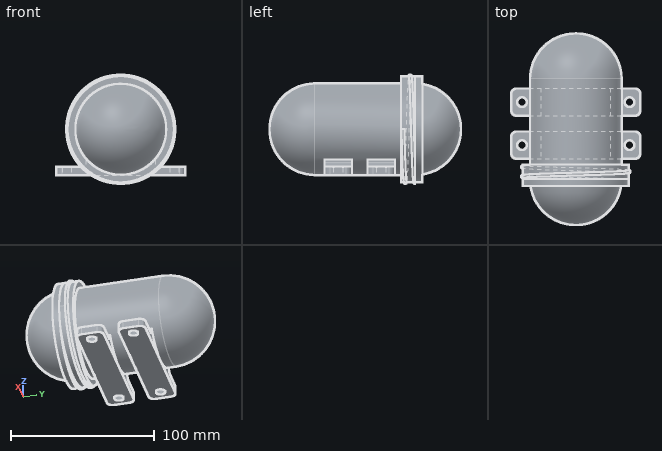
import cadquery as cq
import math

overall_length = 133.5
vessel_radius = 32.0
rear_tip = overall_length / 2
front_tip = -overall_length / 2

collar_radius = 37.0
collar_length = 10.0
rim_length = 5.0
barrel_length = 60.0
joint_y = front_tip + vessel_radius
collar_rear_y = joint_y + collar_length
barrel_rear_y = collar_rear_y + barrel_length
rear_dome_height = rear_tip - barrel_rear_y

bead_radius = 1.0
bead_pitch = 6.7
bead_turns = 1.5
bead_start_offset = 1.5
bead_start_y = collar_rear_y - bead_start_offset

foot_span = 90.0
foot_width = 19.2
foot_thickness = 6.0
foot_corner_radius = 4.0
foot_spacing = 29.9
first_foot_offset = 13.6
foot_bottom_z = -vessel_radius
foot_top_z = foot_bottom_z + foot_thickness
hole_diameter = 6.5
hole_spacing = 74.7
saddle_half_width = 24.0
saddle_fillet = 3.0
saddle_top_z = -vessel_radius / 2


def revolve_about_y(profile):
    """Revolve a closed XY profile a full turn around the Y axis."""
    return profile.revolve(360, (0, 0, 0), (0, 1, 0))


def make_shell():
    """Collar, barrel and domed rear end, as one round solid."""
    dome_radius = (vessel_radius**2 + rear_dome_height**2) / (2 * rear_dome_height)
    dome_center_y = rear_tip - dome_radius
    half_angle = math.asin(vessel_radius / dome_radius) / 2
    dome_middle = (
        dome_radius * math.sin(half_angle),
        dome_center_y + dome_radius * math.cos(half_angle),
    )
    return revolve_about_y(
        cq.Workplane("XY")
        .moveTo(0, joint_y)
        .lineTo(collar_radius, joint_y)
        .lineTo(collar_radius, collar_rear_y)
        .lineTo(vessel_radius, collar_rear_y)
        .lineTo(vessel_radius, barrel_rear_y)
        .threePointArc(dome_middle, (0, rear_tip))
        .close()
    )


def make_thread():
    """Helical bead, starting at -X, trimmed flush with the joint face."""
    helix = cq.Wire.makeHelix(bead_pitch, bead_pitch * bead_turns, collar_radius)
    bead = (
        cq.Workplane("XZ", origin=(collar_radius, 0, 0))
        .circle(bead_radius)
        .sweep(cq.Workplane(obj=helix), isFrenet=True)
        .rotate((0, 0, 0), (1, 0, 0), 90)
        .rotate((0, 0, 0), (0, 1, 0), 180)
        .translate((0, bead_start_y, 0))
    )
    trim_size = 4 * collar_radius
    keep_block = cq.Workplane("XY", origin=(0, joint_y + trim_size / 2, 0)).box(
        trim_size, trim_size, trim_size
    )
    return bead.intersect(keep_block)


def make_foot(center_y):
    """Drilled plate under the barrel with a saddle blending up into its sides."""
    plate = (
        cq.Workplane("XY", origin=(0, center_y, foot_bottom_z))
        .rect(foot_span, foot_width)
        .extrude(foot_thickness)
        .edges("|Z")
        .fillet(foot_corner_radius)
    )
    fillet_foot_x = saddle_half_width + saddle_fillet
    fillet_top_z = foot_top_z + saddle_fillet
    arc_inset = saddle_fillet * (1 - math.sqrt(0.5))
    arc_middle_x = saddle_half_width + arc_inset
    arc_middle_z = foot_top_z + arc_inset
    saddle = (
        cq.Workplane("XZ", origin=(0, center_y, 0))
        .moveTo(-fillet_foot_x, foot_top_z)
        .lineTo(fillet_foot_x, foot_top_z)
        .threePointArc((arc_middle_x, arc_middle_z), (saddle_half_width, fillet_top_z))
        .lineTo(saddle_half_width, saddle_top_z)
        .lineTo(-saddle_half_width, saddle_top_z)
        .lineTo(-saddle_half_width, fillet_top_z)
        .threePointArc((-arc_middle_x, arc_middle_z), (-fillet_foot_x, foot_top_z))
        .close()
        .extrude(foot_width / 2, both=True)
    )
    holes = (
        cq.Workplane("XY", origin=(0, center_y, foot_bottom_z))
        .pushPoints([(-hole_spacing / 2, 0), (hole_spacing / 2, 0)])
        .circle(hole_diameter / 2)
        .extrude(foot_thickness)
    )
    return plate.union(saddle).cut(holes)


def make_vessel():
    """Vessel with its thread and mounting feet, as one solid."""
    vessel = make_shell().union(make_thread())
    for index in range(2):
        foot_y = collar_rear_y + first_foot_offset + index * foot_spacing
        vessel = vessel.union(make_foot(foot_y))
    return vessel


def make_cap():
    """Flanged cap: a rim against the collar and a dome centered on the joint."""
    rim_front_y = joint_y - rim_length
    dome_base_radius = math.sqrt(vessel_radius**2 - rim_length**2)
    half_angle = math.asin(dome_base_radius / vessel_radius) / 2
    dome_middle = (
        vessel_radius * math.sin(half_angle),
        joint_y - vessel_radius * math.cos(half_angle),
    )
    return revolve_about_y(
        cq.Workplane("XY")
        .moveTo(0, joint_y)
        .lineTo(collar_radius, joint_y)
        .lineTo(collar_radius, rim_front_y)
        .lineTo(dome_base_radius, rim_front_y)
        .threePointArc(dome_middle, (0, front_tip))
        .close()
    )


vessel = make_vessel()
cap = make_cap()

result = cq.Compound.makeCompound([vessel.solids().val(), cap.val()])